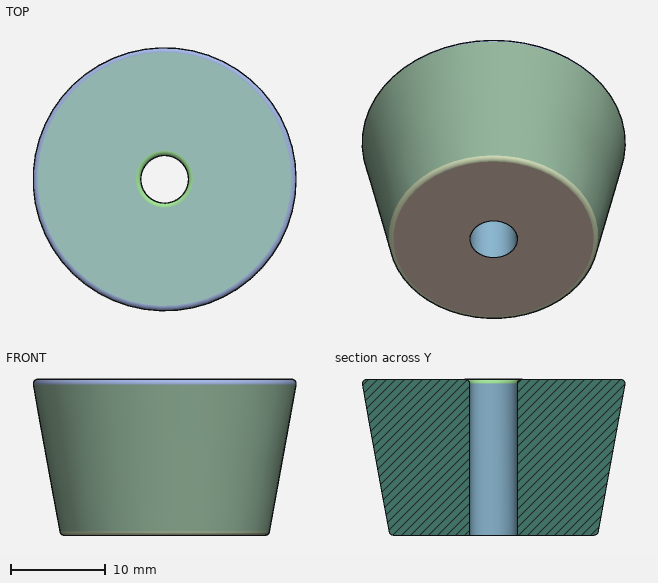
import cadquery as cq
import math

outer_diameter = 27.8
height = 16.5
draft_angle = 10.3

hole_diameter = 5.0
edge_radius = 0.5

rim_half_angle = math.radians((90 - draft_angle) / 2)
rim_setback = edge_radius / math.tan(rim_half_angle)
top_radius = outer_diameter / 2 - edge_radius + rim_setback
bottom_radius = top_radius - height * math.tan(math.radians(draft_angle))


def tapered_body():
    """Solid cone, wider at the top, with rounded rim and base."""
    profile = (
        cq.Workplane("XZ")
        .lineTo(bottom_radius, 0)
        .lineTo(top_radius, height)
        .lineTo(0, height)
        .close()
    )
    cone = profile.revolve(360, (0, 0, 0), (0, 1, 0))
    return cone.faces("<Z or >Z").edges().fillet(edge_radius)


def drill_hole(body):
    """Central through hole with a rounded mouth on the top face."""
    drilled = body.faces(">Z").workplane(origin=(0, 0, height)).hole(hole_diameter)
    mouth = drilled.faces(">Z").edges(cq.selectors.RadiusNthSelector(0))
    return mouth.fillet(edge_radius)


result = drill_hole(tapered_body())